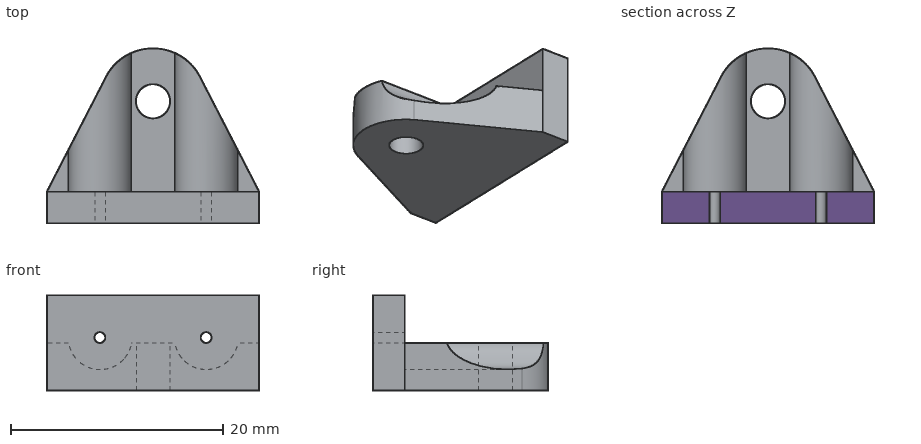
import cadquery as cq
import math

plate_width = 20.0
plate_thickness = 3.0
plate_height = 9.0

tongue_height = plate_height / 2
nose_radius = 5.0
nose_center_y = 11.5
nose_arc_end_angle = math.radians(30)

pivot_hole_diameter = 3.2

screw_hole_diameter = 1.0
screw_offset_x = 5.0
screw_height = 5.0
channel_radius = 3.0

nose_tip_y = nose_center_y + nose_radius


def make_plate():
    return cq.Workplane("XY").box(
        plate_width, plate_thickness, plate_height, centered=(True, False, False)
    )


def make_tongue():
    """Tapered tongue, as wide as the plate at its root, ending in a round nose."""
    half_width = plate_width / 2
    arc_end_x = nose_radius * math.cos(nose_arc_end_angle)
    arc_end_y = nose_center_y + nose_radius * math.sin(nose_arc_end_angle)
    return (
        cq.Workplane("XY")
        .moveTo(-half_width, plate_thickness)
        .lineTo(half_width, plate_thickness)
        .lineTo(arc_end_x, arc_end_y)
        .threePointArc((0, nose_tip_y), (-arc_end_x, arc_end_y))
        .close()
        .extrude(tongue_height)
    )


def make_rod_along_y(diameter, x, start_y, end_y):
    """Cylinder at screw height, parallel to Y."""
    return cq.Workplane(
        cq.Solid.makeCylinder(
            diameter / 2,
            end_y - start_y,
            cq.Vector(x, start_y, screw_height),
            cq.Vector(0, 1, 0),
        )
    )


def make_pivot_hole():
    return (
        cq.Workplane("XY")
        .center(0, nose_center_y)
        .circle(pivot_hole_diameter / 2)
        .extrude(tongue_height)
    )


result = make_plate().union(make_tongue()).cut(make_pivot_hole())
for screw_x in (-screw_offset_x, screw_offset_x):
    screw_hole = make_rod_along_y(screw_hole_diameter, screw_x, 0, plate_thickness)
    channel = make_rod_along_y(2 * channel_radius, screw_x, plate_thickness, nose_tip_y)
    result = result.cut(screw_hole).cut(channel)